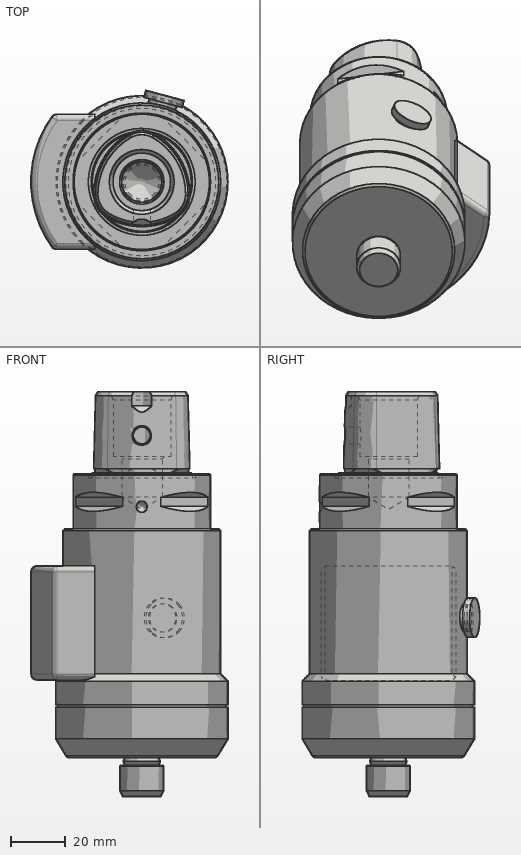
import cadquery as cq
import math

TOTAL_HEIGHT = 147.8
NUT_TOP_Z = 11.5
BODY_BOTTOM_Z = 14.2
BOTTOM_RIM_Z = 14.9
COLLAR_BOTTOM_Z = 21.1
RING_GROOVE_Z = 33.1
COLLAR_TOP_Z = 42.1
BODY_START_Z = 44.8
BODY_TOP_Z = 97.7
FLANGE_TOP_Z = 117.8
SHANK_BOTTOM_Z = 119.7

NUT_RADIUS = 8.0
NUT_TIP_RADIUS = 7.0
NUT_TIP_HEIGHT = 2.2
NUT_TOP_CHAMFER = 0.5
STUD_RADIUS = 6.2
STUD_BEAD_RADIUS = 6.8
STUD_BEAD_Z = 12.9
BODY_BOTTOM_RADIUS = 26.9
BOTTOM_RIM_RADIUS = 27.8
COLLAR_RADIUS = 31.5
BODY_RADIUS = 28.8
BODY_CHAMFER = 0.7
FLANGE_RADIUS = 25.1
FLANGE_CHAMFER = 0.5
RING_GROOVE_WIDTH = 0.9
RING_GROOVE_DEPTH = 0.6

FOOT_GROOVE_RADIUS = 19.5
FOOT_GROOVE_DEPTH = 1.3
FOOT_BASE_RADIUS = 18.5
FOOT_TOP_RADIUS = 18.0
FOOT_HEIGHT = 0.5

SHANK_BASE_RADIUS = 17.6
SHANK_TAPER_ANGLE = math.degrees(math.atan(1 / 40))
LOBE_COUNT = 3
LOBE_CENTRE_DISTANCE = 8.9
SHANK_CHAMFER_HEIGHT = 1.5
SHANK_CHAMFER_INSET = 0.9
NECK_INSET = 0.5
NECK_TOP_RADIUS = 18.0
NECK_BOTTOM_RADIUS = 17.0

BORE_MOUTH_RADIUS = 11.8
BORE_RADIUS = 10.5
BORE_MOUTH_DEPTH = 3.0
BORE_DEPTH = 23.6
PILOT_RADIUS = 8.1
PILOT_CHAMFER = 0.7
PILOT_DEPTH = 38.4
DRILL_HALF_ANGLE = math.radians(59)

KEYWAY_RADIUS = 4.5
KEYWAY_OFFSET = 18.0
KEYWAY_DEPTH = 5.2
SIDE_HOLE_RADIUS = 3.1
SIDE_HOLE_COUNTERSINK = 0.5
SIDE_HOLE_FACE_Y = -16.0
SIDE_HOLE_Z = 131.8
DIMPLE_RADIUS = 2.0
DIMPLE_Z = 105.8

SLOT_COUNT = 4
SLOT_FLOOR_DISTANCE = 22.0
SLOT_Z = 107.5
SLOT_FLOOR_WIDTH = 3.3
SLOT_MOUTH_WIDTH = 7.0

BLOCK_RADIUS = 40.5
BLOCK_HALF_WIDTH = 24.7
BLOCK_BOTTOM_Z = 42.5
BLOCK_TOP_Z = 84.2
BLOCK_INNER_X = -17.1
BLOCK_FILLET = 2.2

BUTTON_ANGLE = 75.0
BUTTON_Z = 65.3
BUTTON_RADIUS = 7.2
BUTTON_FACE_DISTANCE = 32.7
BUTTON_THICKNESS = 2.7
BUTTON_NECK_RADIUS = 5.2


def turned_body():
    """Nut, stud, collar, cylinder and flange as one revolved profile."""
    groove_low = RING_GROOVE_Z - RING_GROOVE_WIDTH / 2
    groove_high = RING_GROOVE_Z + RING_GROOVE_WIDTH / 2
    groove_radius = COLLAR_RADIUS - RING_GROOVE_DEPTH
    profile = [
        (0, 0),
        (NUT_TIP_RADIUS, 0),
        (NUT_RADIUS, NUT_TIP_HEIGHT),
        (NUT_RADIUS, NUT_TOP_Z - NUT_TOP_CHAMFER),
        (NUT_RADIUS - NUT_TOP_CHAMFER, NUT_TOP_Z),
        (STUD_RADIUS, NUT_TOP_Z),
        (STUD_BEAD_RADIUS, STUD_BEAD_Z),
        (STUD_RADIUS, BODY_BOTTOM_Z),
        (BODY_BOTTOM_RADIUS, BODY_BOTTOM_Z),
        (BOTTOM_RIM_RADIUS, BOTTOM_RIM_Z),
        (COLLAR_RADIUS, COLLAR_BOTTOM_Z),
        (COLLAR_RADIUS, groove_low),
        (groove_radius, groove_low),
        (groove_radius, groove_high),
        (COLLAR_RADIUS, groove_high),
        (COLLAR_RADIUS, COLLAR_TOP_Z),
        (BODY_RADIUS, BODY_START_Z),
        (BODY_RADIUS, BODY_TOP_Z - BODY_CHAMFER),
        (BODY_RADIUS - BODY_CHAMFER, BODY_TOP_Z),
        (FLANGE_RADIUS, BODY_TOP_Z),
        (FLANGE_RADIUS, FLANGE_TOP_Z - FLANGE_CHAMFER),
        (FLANGE_RADIUS - FLANGE_CHAMFER, FLANGE_TOP_Z),
        (FOOT_GROOVE_RADIUS, FLANGE_TOP_Z),
        (FOOT_GROOVE_RADIUS, FLANGE_TOP_Z - FOOT_GROOVE_DEPTH),
        (FOOT_BASE_RADIUS, FLANGE_TOP_Z - FOOT_GROOVE_DEPTH),
        (FOOT_TOP_RADIUS, FLANGE_TOP_Z + FOOT_HEIGHT),
        (0, FLANGE_TOP_Z + FOOT_HEIGHT),
    ]
    return cq.Workplane("XZ").polyline(profile).close().revolve(360, (0, 0), (0, 1))


def polar_point(centre, radius, degrees):
    angle = math.radians(degrees)
    return centre[0] + radius * math.cos(angle), centre[1] + radius * math.sin(angle)


def lobed_outline(plane, mean_radius):
    """Curve of constant width 2 * mean_radius: three lobes, the first pointing to +Y.

    Each small lobe arc shares its centre with the large arc on the opposite side.
    """
    lobe_step = 360 / LOBE_COUNT
    half_arc = lobe_step / 4
    centre_spacing = LOBE_CENTRE_DISTANCE * math.sqrt(3)
    small_radius = mean_radius - centre_spacing / 2
    large_radius = mean_radius + centre_spacing / 2
    outline = plane
    for index in range(LOBE_COUNT):
        lobe = 90 + lobe_step * index
        lobe_centre = polar_point((0, 0), LOBE_CENTRE_DISTANCE, lobe)
        flat = lobe + lobe_step / 2
        flat_centre = polar_point((0, 0), LOBE_CENTRE_DISTANCE, flat + 180)
        if index == 0:
            outline = outline.moveTo(*polar_point(lobe_centre, small_radius, lobe - half_arc))
        outline = outline.threePointArc(
            polar_point(lobe_centre, small_radius, lobe),
            polar_point(lobe_centre, small_radius, lobe + half_arc),
        )
        outline = outline.threePointArc(
            polar_point(flat_centre, large_radius, flat),
            polar_point(flat_centre, large_radius, flat + half_arc),
        )
    return outline.close()


def lobed_prism(bottom_z, top_z, bottom_radius, taper_angle=0):
    plane = cq.Workplane("XY", origin=(0, 0, bottom_z))
    return lobed_outline(plane, bottom_radius).extrude(top_z - bottom_z, taper=taper_angle)


def neck():
    """Undercut below the taper, its lobes trimmed by a cone."""
    height = SHANK_BOTTOM_Z - FLANGE_TOP_Z
    radius = SHANK_BASE_RADIUS - NECK_INSET
    lobed = lobed_prism(FLANGE_TOP_Z, SHANK_BOTTOM_Z, radius)
    cone = cq.Solid.makeCone(NECK_BOTTOM_RADIUS, NECK_TOP_RADIUS, height, cq.Vector(0, 0, FLANGE_TOP_Z))
    return lobed.intersect(cq.Workplane(cone))


def shank():
    taper = lobed_prism(SHANK_BOTTOM_Z, TOTAL_HEIGHT, SHANK_BASE_RADIUS, SHANK_TAPER_ANGLE)
    taper = taper.faces(">Z").chamfer(SHANK_CHAMFER_HEIGHT, SHANK_CHAMFER_INSET)
    return neck().union(taper)


def drill_point_height(radius):
    return radius / math.tan(DRILL_HALF_ANGLE)


def stepped_bore():
    floor_z = TOTAL_HEIGHT - BORE_DEPTH
    pilot_z = TOTAL_HEIGHT - PILOT_DEPTH
    profile = [
        (0, TOTAL_HEIGHT),
        (BORE_MOUTH_RADIUS, TOTAL_HEIGHT),
        (BORE_RADIUS, TOTAL_HEIGHT - BORE_MOUTH_DEPTH),
        (BORE_RADIUS, floor_z),
        (PILOT_RADIUS, floor_z),
        (PILOT_RADIUS - PILOT_CHAMFER, floor_z - PILOT_CHAMFER),
        (PILOT_RADIUS - PILOT_CHAMFER, pilot_z),
        (0, pilot_z - drill_point_height(PILOT_RADIUS - PILOT_CHAMFER)),
    ]
    return cq.Workplane("XZ").polyline(profile).close().revolve(360, (0, 0), (0, 1))


def keyway():
    """Notch parallel to the axis with a 90-degree point, open to the -Y side of the shank."""
    floor_z = TOTAL_HEIGHT - KEYWAY_DEPTH
    profile = [
        (0, TOTAL_HEIGHT),
        (KEYWAY_RADIUS, TOTAL_HEIGHT),
        (KEYWAY_RADIUS, floor_z),
        (0, floor_z - KEYWAY_RADIUS),
    ]
    cutter = cq.Workplane("XZ").polyline(profile).close().revolve(360, (0, 0), (0, 1))
    return cutter.translate((0, -KEYWAY_OFFSET, 0))


def side_hole():
    """Countersunk radial hole from the -Y side into the bore."""
    mouth_radius = SIDE_HOLE_RADIUS + SIDE_HOLE_COUNTERSINK
    reach = -SIDE_HOLE_FACE_Y
    profile = [
        (0, 0),
        (SIDE_HOLE_RADIUS, 0),
        (SIDE_HOLE_RADIUS, reach - SIDE_HOLE_COUNTERSINK),
        (mouth_radius, reach),
        (mouth_radius, COLLAR_RADIUS),
        (0, COLLAR_RADIUS),
    ]
    cutter = cq.Workplane("XY").polyline(profile).close().revolve(360, (0, 0), (0, 1))
    return cutter.rotate((0, 0, 0), (0, 0, 1), 180).translate((0, 0, SIDE_HOLE_Z))


def dimple():
    """Conical spot in the -Y side of the flange."""
    depth = drill_point_height(DIMPLE_RADIUS)
    spot = cq.Solid.makeCone(
        DIMPLE_RADIUS, 0, depth, cq.Vector(0, -FLANGE_RADIUS, DIMPLE_Z), cq.Vector(0, 1, 0)
    )
    return cq.Workplane(spot)


def gripper_slots():
    half_floor = SLOT_FLOOR_WIDTH / 2
    half_mouth = SLOT_MOUTH_WIDTH / 2
    profile = [
        (SLOT_FLOOR_DISTANCE, SLOT_Z - half_floor),
        (FLANGE_RADIUS, SLOT_Z - half_mouth),
        (FLANGE_RADIUS, SLOT_Z + half_mouth),
        (SLOT_FLOOR_DISTANCE, SLOT_Z + half_floor),
    ]
    slot = cq.Workplane("XZ").polyline(profile).close().extrude(FLANGE_RADIUS, both=True)
    slots = cq.Workplane()
    for index in range(SLOT_COUNT):
        angle = 360 / SLOT_COUNT * (index + 0.5)
        slots = slots.add(slot.rotate((0, 0, 0), (0, 0, 1), angle))
    return slots.combine()


def side_block():
    """Block on the -X side with an outer face concentric with the body."""
    corner_x = -math.sqrt(BLOCK_RADIUS**2 - BLOCK_HALF_WIDTH**2)
    block = (
        cq.Workplane("XY", origin=(0, 0, BLOCK_BOTTOM_Z))
        .moveTo(BLOCK_INNER_X, -BLOCK_HALF_WIDTH)
        .lineTo(corner_x, -BLOCK_HALF_WIDTH)
        .threePointArc((-BLOCK_RADIUS, 0), (corner_x, BLOCK_HALF_WIDTH))
        .lineTo(BLOCK_INNER_X, BLOCK_HALF_WIDTH)
        .close()
        .extrude(BLOCK_TOP_Z - BLOCK_BOTTOM_Z)
    )
    outer_edges = cq.selectors.BoxSelector(
        (-BLOCK_RADIUS, -BLOCK_RADIUS, 0), (BLOCK_INNER_X - BLOCK_FILLET, BLOCK_RADIUS, TOTAL_HEIGHT)
    )
    return block.edges(outer_edges).fillet(BLOCK_FILLET)


def button():
    """Round button on a narrower neck, standing off the back of the body."""
    underside = BUTTON_FACE_DISTANCE - BUTTON_THICKNESS
    neck_start = BODY_RADIUS - BUTTON_NECK_RADIUS
    neck = cq.Workplane("YZ", origin=(neck_start, 0, BUTTON_Z)).circle(BUTTON_NECK_RADIUS)
    neck = neck.extrude(underside - neck_start)
    head = cq.Workplane("YZ", origin=(underside, 0, BUTTON_Z)).circle(BUTTON_RADIUS)
    head = head.extrude(BUTTON_THICKNESS)
    return neck.union(head).rotate((0, 0, 0), (0, 0, 1), BUTTON_ANGLE)


result = turned_body().union(shank()).union(side_block()).union(button())
for cutter in (stepped_bore(), keyway(), side_hole(), dimple(), gripper_slots()):
    result = result.cut(cutter)